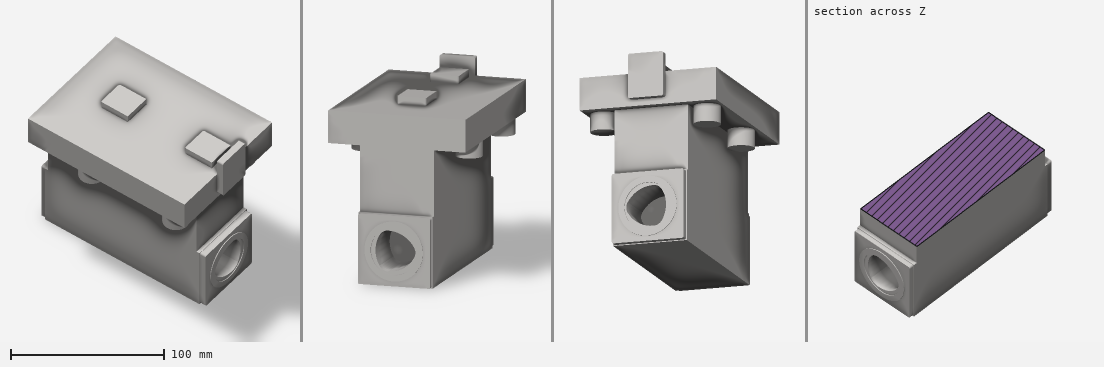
import cadquery as cq
import math

length = 140.0
height = 126.0

plate_left = 6.6
plate_right = 135.1
plate_width = 94.0
plate_bottom = 91.8
plate_top = 113.7

body_width = 50.7
upper_right = 128.4
lower_left = 3.9
lower_right = 130.9
lower_top = 47.7

ring_height = 0.5
ends_right = 136.1
flange_width = 49.5
flange_bottom = 0.5
flange_top = 47.3
port_height = (flange_bottom + flange_top) / 2
edge_radius = 1.3

ring_outer_diameter = 40.0
ring_inner_diameter = 31.6
lobe_offset = 7.7
lobe_radius = 7.0
bore_depth = 28.0
bore_narrowing = 0.7

pin_diameter = 18.0
pin_bottom = 79.8
pin_right_x = upper_right - pin_diameter / 2
pin_pitch = 69.0
pin_spacing_y = 71.0
pad_length = 22.1
pad_width = 19.9
pad_top = 119.0
pad_left = 38.1

tab_width = 24.2
tab_bottom = 96.2


def block(x_min, x_max, width, z_min, z_max):
    """Box centred on Y = 0."""
    size_x = x_max - x_min
    size_z = z_max - z_min
    shape = cq.Workplane("XY").box(size_x, width, size_z, centered=(False, True, False))
    return shape.translate((x_min, 0, z_min))


def polar(center, radius, angle):
    """Point at an angle in degrees around a center."""
    radians = math.radians(angle)
    return center[0] + radius * math.cos(radians), center[1] + radius * math.sin(radians)


def draw_three_lobes(plane, tip_radius):
    """Constant-width outline: tight arcs at three lobes, joined tangentially by wide arcs."""
    lobe_angles = (180, 300, 420)
    centers = [polar((0, 0), lobe_offset, angle) for angle in lobe_angles]
    side_radius = lobe_offset * math.sqrt(3) + tip_radius
    half_arc = 30
    outline = plane.moveTo(*polar(centers[0], tip_radius, lobe_angles[0] - half_arc))
    for index, angle in enumerate(lobe_angles):
        opposite_center = centers[(index + 2) % 3]
        outline = outline.threePointArc(
            polar(centers[index], tip_radius, angle),
            polar(centers[index], tip_radius, angle + half_arc),
        ).threePointArc(
            polar(opposite_center, side_radius, angle + 2 * half_arc),
            polar(opposite_center, side_radius, angle + 3 * half_arc),
        )
    return outline.close()


def make_bore():
    """Slightly narrowing bore running in +X from the left flange face."""
    mouth = draw_three_lobes(cq.Workplane("YZ", origin=(ring_height, 0, port_height)), lobe_radius)
    floor = draw_three_lobes(mouth.workplane(offset=bore_depth), lobe_radius - bore_narrowing)
    return floor.loft(ruled=True)


def make_flange(x_min, x_max):
    """Flange with rounded corners between two X positions."""
    return block(x_min, x_max, flange_width, flange_bottom, flange_top).edges("|X").fillet(edge_radius)


def make_ring():
    """Thin raised ring on the outer face of the left flange."""
    return (
        cq.Workplane("YZ", origin=(0, 0, port_height))
        .circle(ring_outer_diameter / 2)
        .circle(ring_inner_diameter / 2)
        .extrude(ring_height)
    )


def to_right_end(shape):
    """Mirrored copy of a left port feature at the right port."""
    return shape.mirror("YZ").translate((ends_right, 0, 0))


result = block(plate_left, plate_right, plate_width, plate_bottom, plate_top)
result = result.union(block(plate_left, upper_right, body_width, lower_top, plate_bottom))
result = result.union(block(lower_left, lower_right, body_width, 0, lower_top))

result = result.union(make_flange(ring_height, lower_left))
result = result.union(make_flange(lower_right, ends_right - ring_height))
ring = make_ring()
result = result.union(ring).union(to_right_end(ring))
bore = make_bore()
result = result.cut(bore).cut(to_right_end(bore))

for shift in (0, pin_pitch):
    pad = block(pad_left + shift, pad_left + pad_length + shift, pad_width, plate_top, pad_top)
    result = result.union(pad.edges("|Z and <X").fillet(edge_radius))
    for side in (-1, 1):
        pin = (
            cq.Workplane("XY", origin=(pin_right_x - shift, side * pin_spacing_y / 2, pin_bottom))
            .circle(pin_diameter / 2)
            .extrude(plate_bottom - pin_bottom)
        )
        result = result.union(pin)

tab = block(plate_right, length, tab_width, tab_bottom, height)
result = result.union(tab.edges("|X").fillet(edge_radius))